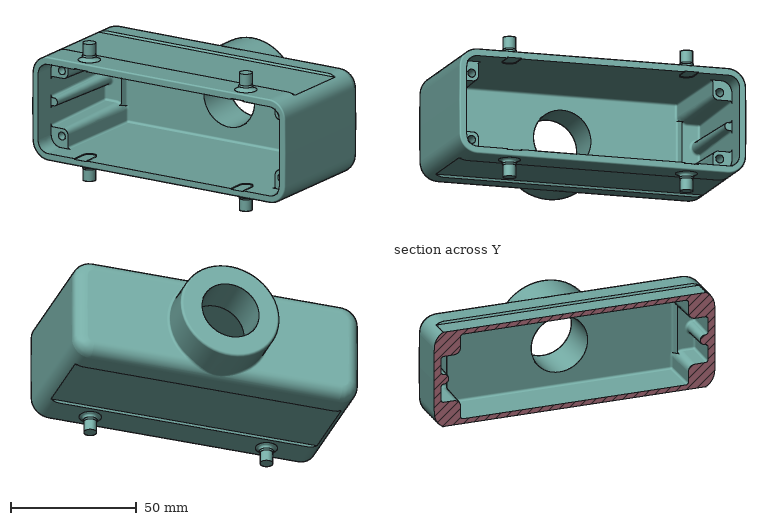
import cadquery as cq
import math

length = 120.0
overall_depth = 69.5
overall_height = 57.0
body_depth = 55.0
body_height = 42.8
end_crown = 0.2
corner_radius = 7.5
back_radius = 5.0
rim_radius = 0.6

wall = 2.9
floor_thickness = 3.6
inner_corner_radius = corner_radius - wall
cavity_draft = 0.6
root_radius = 1.0
cavity_depth = body_depth - floor_thickness

neck_radius = 20.6
neck_edge_radius = 1.0
neck_root_radius = 1.0
bore_radius = 12.0

panel_depth = 1.0
panel_front = 12.8
panel_back = 42.8
panel_slope = 0.5

pin_x = 37.1
pin_y = 6.5
pin_radius = 2.58
pin_foot_radius = 4.5
pin_foot_height = 0.4
pin_flare_radius = 3.7
pin_flare_height = 1.2
pin_neck_radius = 2.9
pin_neck_height = 0.7
slot_depth = 0.3
slot_radius = 2.9

ledge_height = 3.0
ledge_y = cavity_depth - ledge_height
ledge_edge_x = 49.1
ledge_slope = 0.8
insert_y = 9.4
boss_draft = 1.5
boss_x = 48.0
boss_z = 9.4
boss_corner_radius = 3.4
boss_overlap = 4.8
screw_x = 52.0
screw_z = 13.5
screw_radius = 1.62
screw_draft = 2.0
screw_depth = 12.0
rib_x = 55.7
rib_radius = 2.58
rib_draft = 1.3

overlap = 1.2

end_wall_margin = 0.7
side_wall_margin = 1.0
tolerance = 0.01

half_length = length / 2
half_height = body_height / 2
inner_half_length = half_length - wall
inner_half_height = half_height - wall


def facing_back(y):
    """Sketch plane at depth y, extruding toward +Y; its local axes are +X and -Z."""
    return cq.Workplane(cq.Plane(origin=(0, y, 0), xDir=(1, 0, 0), normal=(0, 1, 0)))


def facing_front(y):
    """Sketch plane at depth y, extruding toward -Y; its local axes are +X and +Z."""
    return cq.Workplane("XZ", origin=(0, y, 0))


def make_body():
    """Rounded box whose end faces rise slightly to a crown at mid-height."""
    corner_x = half_length - end_crown
    outline = [
        (half_length, 0),
        (corner_x, half_height),
        (-corner_x, half_height),
        (-half_length, 0),
        (-corner_x, -half_height),
        (corner_x, -half_height),
    ]
    body = facing_back(0).polyline(outline).close().extrude(body_depth)
    body = body.edges("|Y").edges(">Z or <Z").fillet(corner_radius)
    body = body.faces(">Y").edges().fillet(back_radius)
    return body.faces("<Y").edges().fillet(rim_radius)


def make_neck():
    neck_start = body_depth - back_radius - overlap
    neck = facing_back(neck_start).circle(neck_radius).extrude(overall_depth - neck_start)
    return neck.faces(">Y").edges().fillet(neck_edge_radius)


def make_cavity():
    return (
        facing_back(0)
        .sketch()
        .rect(2 * inner_half_length, 2 * inner_half_height)
        .vertices()
        .fillet(inner_corner_radius)
        .finalize()
        .extrude(cavity_depth, taper=cavity_draft)
    )


def make_panel_cut(side):
    """Full-length shallow recess with sloped front and back edges."""
    surface = side * half_height
    bottom = side * (half_height - panel_depth)
    profile = [
        (panel_front, surface),
        (panel_front + panel_slope, bottom),
        (panel_back - panel_slope, bottom),
        (panel_back, surface),
    ]
    return cq.Workplane("YZ").polyline(profile).close().extrude(half_length, both=True)


def make_pin(x, side):
    """Pin with a flared root, revolved about its own axis."""
    flare_z = half_height + pin_foot_height
    neck_z = flare_z + pin_flare_height
    bend_r = pin_neck_radius + (pin_flare_radius - pin_neck_radius) * (1 - math.sqrt(0.5))
    bend_z = flare_z + pin_flare_height * (1 - math.sqrt(0.5))
    pin = (
        cq.Workplane("XZ")
        .moveTo(0, half_height - wall / 2)
        .lineTo(pin_foot_radius, half_height - wall / 2)
        .lineTo(pin_foot_radius, half_height)
        .lineTo(pin_flare_radius, flare_z)
        .threePointArc((bend_r, bend_z), (pin_neck_radius, neck_z))
        .lineTo(pin_radius, neck_z + pin_neck_height)
        .lineTo(pin_radius, overall_height / 2)
        .lineTo(0, overall_height / 2)
        .close()
        .revolve(360, (0, 0), (0, 1))
    )
    if side < 0:
        pin = pin.mirror("XY")
    return pin.translate((x, pin_y, 0))


def make_pin_slot(x, side):
    """Round-ended slot in the inner wall, open to the front."""
    slot = (
        cq.Workplane("XY", origin=(x, 0, inner_half_height - overlap))
        .moveTo(-slot_radius, 0)
        .lineTo(slot_radius, 0)
        .lineTo(slot_radius, pin_y)
        .threePointArc((0, pin_y + slot_radius), (-slot_radius, pin_y))
        .close()
        .extrude(overlap + slot_depth)
    )
    return slot if side > 0 else slot.mirror("XY")


def make_ledge(end):
    """Step along the end of the cavity floor, with a sloped face."""
    foot_x = ledge_edge_x - ledge_slope
    profile = [
        (end * (inner_half_length + overlap), cavity_depth + overlap),
        (end * (inner_half_length + overlap), ledge_y),
        (end * ledge_edge_x, ledge_y),
        (end * foot_x, cavity_depth),
        (end * foot_x, cavity_depth + overlap),
    ]
    return cq.Workplane("XY").polyline(profile).close().extrude(inner_half_height + overlap, both=True)


def make_boss(end, side):
    """Drafted corner boss whose outer sides are buried in the walls."""
    size_x = inner_half_length + boss_overlap - boss_x
    size_z = inner_half_height + boss_overlap - boss_z
    return (
        facing_front(cavity_depth)
        .center(end * (boss_x + size_x / 2), side * (boss_z + size_z / 2))
        .sketch()
        .rect(size_x, size_z)
        .vertices()
        .fillet(boss_corner_radius)
        .finalize()
        .extrude(cavity_depth - insert_y, taper=boss_draft)
    )


def make_screw_hole(end, side):
    return (
        facing_back(insert_y)
        .center(end * screw_x, side * screw_z)
        .circle(screw_radius)
        .extrude(screw_depth, taper=screw_draft)
    )


def make_rib(end):
    return (
        facing_front(cavity_depth)
        .center(end * rib_x, 0)
        .circle(rib_radius)
        .extrude(cavity_depth - insert_y, taper=rib_draft)
    )


def lies_at(edge, y):
    """True for an edge lying wholly at depth y."""
    box = edge.BoundingBox()
    return abs(box.ymin - y) < tolerance and abs(box.ymax - y) < tolerance


def is_cavity_root(edge):
    """True for the inside corners of the floor, the ledges, the bosses and the ribs."""
    box = edge.BoundingBox()
    x = abs(edge.Center().x)
    z = abs(edge.Center().z)
    if lies_at(edge, cavity_depth):
        return edge.geomType() == "LINE"
    if lies_at(edge, ledge_y):
        return abs(x - ledge_edge_x) > tolerance
    runs_from_insert_face = abs(box.ymin - insert_y) < tolerance and box.ymax > insert_y + tolerance
    near_end_wall = x > inner_half_length - end_wall_margin
    near_side_wall = z > inner_half_height - side_wall_margin
    return runs_from_insert_face and (near_end_wall or near_side_wall)


ends = (-1, 1)
sides = (-1, 1)

body = make_body()
shell = body.union(make_neck())
neck_root = cq.selectors.BoxSelector(
    (-neck_radius - overlap, body_depth - back_radius, -neck_radius - overlap),
    (neck_radius + overlap, body_depth + neck_root_radius, neck_radius + overlap),
    boundingbox=True,
)
shell = shell.edges(neck_root).fillet(neck_root_radius)
shell = shell.cut(make_cavity())

inserts = make_ledge(-1).union(make_ledge(1))
for end in ends:
    inserts = inserts.union(make_rib(end))
    for side in sides:
        inserts = inserts.union(make_boss(end, side))
shell = shell.union(inserts.intersect(body))
shell = shell.edges().filter(is_cavity_root).fillet(root_radius)

for side in sides:
    shell = shell.cut(make_panel_cut(side))
    for end in ends:
        shell = shell.cut(make_screw_hole(end, side))
        shell = shell.union(make_pin(end * pin_x, side))
        shell = shell.cut(make_pin_slot(end * pin_x, side))

result = shell.cut(facing_back(0).circle(bore_radius).extrude(overall_depth))